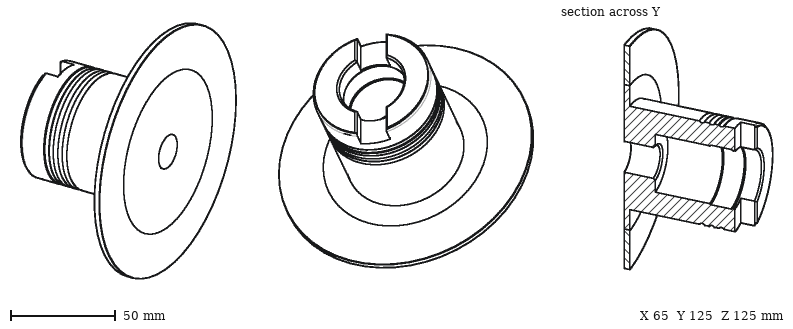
import cadquery as cq

TOTAL_LENGTH = 65.0
FLANGE_THICKNESS = 3.0
FLANGE_X = TOTAL_LENGTH - FLANGE_THICKNESS

HUB_RADIUS = 29.0
NOSE_RADIUS = 28.0
NOSE_LENGTH = 0.75
SHOULDER_FILLET = 0.75
HUB_FLANGE_RADIUS = 40.5

SLOT_WIDTH = 14.4
SLOT_DEPTH = 8.0
SLOT_CHAMFER = 0.8

GROOVE_COUNT = 3
GROOVE_PITCH = 5.0
FIRST_GROOVE_X = 15.0
GROOVE_WIDTH = 2.6
GROOVE_DEPTH = 0.75
FIRST_GROOVE_CHAMFER = 0.25

BORE_RADIUS = 16.0
BORE_CHAMFER = 1.0
BORE_FLOOR_X = FLANGE_X - (HUB_RADIUS - BORE_RADIUS)
RELIEF_START_X = 9.0
RELIEF_END_X = 21.0
RELIEF_DEPTH = 0.5
RELIEF_ENTRY_TAPER = 1.0
RELIEF_EXIT_TAPER = 0.5
HOLE_RADIUS = 8.5

PLATE_RADIUS = 62.5
PLATE_CHAMFER = 0.2


def disc(radius, start_x, end_x):
    """Cylinder about the X axis between two stations."""
    return cq.Workplane("YZ").workplane(offset=start_x).circle(radius).extrude(end_x - start_x)


def revolve_about_x(profile):
    """Turn a closed profile of (x, radius) sketched on XY about the X axis."""
    return profile.close().revolve(360, (0, 0, 0), (1, 0, 0))


def groove_cutter(center_x):
    """Round-bottomed ring groove."""
    half_width = GROOVE_WIDTH / 2
    profile = (
        cq.Workplane("XY")
        .moveTo(center_x - half_width, HUB_RADIUS)
        .threePointArc(
            (center_x, HUB_RADIUS - GROOVE_DEPTH),
            (center_x + half_width, HUB_RADIUS),
        )
    )
    return revolve_about_x(profile)


def groove_edge_cutter():
    """Bevel that breaks both edges of the first groove."""
    inner_half_width = GROOVE_WIDTH / 2
    outer_half_width = inner_half_width + FIRST_GROOVE_CHAMFER
    profile = cq.Workplane("XY").polyline([
        (FIRST_GROOVE_X - outer_half_width, HUB_RADIUS),
        (FIRST_GROOVE_X - inner_half_width, HUB_RADIUS - FIRST_GROOVE_CHAMFER),
        (FIRST_GROOVE_X + inner_half_width, HUB_RADIUS - FIRST_GROOVE_CHAMFER),
        (FIRST_GROOVE_X + outer_half_width, HUB_RADIUS),
    ])
    return revolve_about_x(profile)


def slot_cutter():
    """Slot along Z through the hub end, with flared mouth edges."""
    half_width = SLOT_WIDTH / 2
    mouth = half_width + SLOT_CHAMFER
    return (
        cq.Workplane("XY")
        .polyline([
            (0, -mouth),
            (SLOT_CHAMFER, -half_width),
            (SLOT_DEPTH, -half_width),
            (SLOT_DEPTH, half_width),
            (SLOT_CHAMFER, half_width),
            (0, mouth),
        ])
        .close()
        .extrude(HUB_RADIUS, both=True)
    )


def bore_cutter():
    """Chamfered bore with a shallow relief, narrowing to a chamfered through hole."""
    relief_radius = BORE_RADIUS + RELIEF_DEPTH
    profile = cq.Workplane("XY").polyline([
        (0, 0),
        (0, BORE_RADIUS + BORE_CHAMFER),
        (BORE_CHAMFER, BORE_RADIUS),
        (RELIEF_START_X, BORE_RADIUS),
        (RELIEF_START_X + RELIEF_ENTRY_TAPER, relief_radius),
        (RELIEF_END_X - RELIEF_EXIT_TAPER, relief_radius),
        (RELIEF_END_X, BORE_RADIUS),
        (BORE_FLOOR_X, BORE_RADIUS),
        (BORE_FLOOR_X, HOLE_RADIUS + BORE_CHAMFER),
        (BORE_FLOOR_X + BORE_CHAMFER, HOLE_RADIUS),
        (TOTAL_LENGTH, HOLE_RADIUS),
        (TOTAL_LENGTH, 0),
    ])
    return revolve_about_x(profile)


def make_hub():
    barrel = disc(HUB_RADIUS, NOSE_LENGTH, FLANGE_X).faces("<X").edges().fillet(SHOULDER_FILLET)
    hub = (
        barrel
        .union(disc(NOSE_RADIUS, 0, NOSE_LENGTH))
        .union(disc(HUB_FLANGE_RADIUS, FLANGE_X, TOTAL_LENGTH))
        .cut(groove_edge_cutter())
    )
    for index in range(GROOVE_COUNT):
        hub = hub.cut(groove_cutter(FIRST_GROOVE_X + index * GROOVE_PITCH))
    return hub.cut(bore_cutter()).cut(slot_cutter())


def make_ring_plate():
    """Flat ring seated around the hub flange, flush with both its faces."""
    plate = disc(PLATE_RADIUS, FLANGE_X, TOTAL_LENGTH).edges().chamfer(PLATE_CHAMFER)
    return plate.cut(disc(HUB_FLANGE_RADIUS, FLANGE_X, TOTAL_LENGTH))


hub = make_hub()
ring_plate = make_ring_plate()

result = cq.Compound.makeCompound([hub.val(), ring_plate.val()])